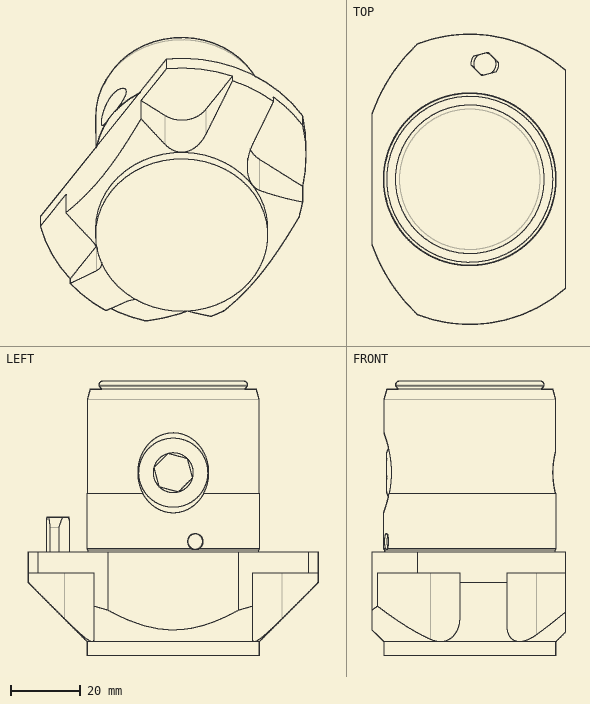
import cadquery as cq
import math

base_top = 4.0
pocket_top = 23.9
flange_top = 30.0
neck_top = 30.5
neck_chamfer_top = 31.0
ring_top = 46.85
chamfer_start = 74.1
body_top = 77.1
total_height = 79.4

base_diameter = 49.8
neck_diameter = 49.4
ring_diameter = 50.0
body_diameter = 49.7
body_top_diameter = 48.0
cap_diameter = 43.0
cap_rounding = 1.2
cap_lower_chamfer = 0.8

flange_radius = 42.0
flange_left = -28.3
flange_right = 27.7
side_arc_start_x = -15.1
side_arc_end_y = 18.9
side_arc_middle = (-22.9, 29.8)

rib_center_x = 3.95
rib_width = 13.6
rib_fillet = 8.6
left_wall_y = 22.9
right_wall_y = 18.8
pocket_reach = 50.4

screw_z = 52.9
screw_diameter = 20.0
screw_rim_x = -22.2
screw_face_x = -24.1
countersink_half_angle = 30.0
countersink_outer_x = -27.7
hex_flats = 10.0
hex_corner_radius = hex_flats / math.sqrt(3)
hex_rotation = 15.0
hex_depth = 7.55
hex_chamfer_depth = 0.5

back_hole_diameter = 12.5
back_hole_depth = 8.4

small_hole_diameter = 4.5
small_hole_z = 33.0
small_hole_angle = 195.0
small_hole_depth = 0.8

pin_center = (4.4, 33.3)
pin_top = 40.05
pin_diameter = 8.0
pin_top_diameter = 6.4
pin_taper_height = 2.9
pin_half_flats = 3.0
pin_rotation = -15.0
pin_half_angle = 60.0


def disc(diameter, bottom, top):
    return cq.Workplane("XY").workplane(offset=bottom).circle(diameter / 2).extrude(top - bottom)


def revolve_about_z(points):
    return cq.Workplane("XZ").polyline(points).close().revolve(360, (0, 0), (0, 1))


def revolve_about_screw_axis(points):
    """Turn a closed (x, radius) profile about the screw axis, which is parallel to X."""
    return (
        cq.Workplane("XZ", origin=(0, 0, screw_z))
        .polyline(points).close()
        .revolve(360, (0, 0), (1, 0))
    )


def make_flange():
    right_y = math.sqrt(flange_radius**2 - flange_right**2)
    corner_y = math.sqrt(flange_radius**2 - side_arc_start_x**2)
    middle_x, middle_y = side_arc_middle
    plate = (
        cq.Workplane("XY", origin=(0, 0, base_top))
        .moveTo(flange_right, -right_y)
        .lineTo(flange_right, right_y)
        .threePointArc((0, flange_radius), (side_arc_start_x, corner_y))
        .threePointArc((middle_x, middle_y), (flange_left, side_arc_end_y))
        .lineTo(flange_left, -side_arc_end_y)
        .threePointArc((middle_x, -middle_y), (side_arc_start_x, -corner_y))
        .threePointArc((0, -flange_radius), (flange_right, -right_y))
        .close()
        .extrude(flange_top - base_top)
    )
    base_radius = base_diameter / 2
    cone_top = base_top + flange_radius - base_radius
    envelope = revolve_about_z([
        (0, base_top),
        (base_radius, base_top),
        (flange_radius, cone_top),
        (flange_radius, flange_top),
        (0, flange_top),
    ])
    return plate.intersect(envelope)


def make_pocket(side_x, side_y, wall_y):
    """Pocket beside a rib, with a concave fillet between its wall and the rib."""
    rib_x = rib_center_x + side_x * rib_width / 2
    inset = rib_fillet * (1 - math.sqrt(0.5))
    return (
        cq.Workplane("XY")
        .moveTo(rib_x, side_y * pocket_reach)
        .lineTo(rib_x, side_y * (wall_y + rib_fillet))
        .threePointArc(
            (rib_x + side_x * inset, side_y * (wall_y + inset)),
            (rib_x + side_x * rib_fillet, side_y * wall_y),
        )
        .lineTo(side_x * pocket_reach, side_y * wall_y)
        .lineTo(side_x * pocket_reach, side_y * pocket_reach)
        .close()
        .extrude(pocket_top)
    )


def make_body():
    neck = disc(neck_diameter, flange_top, neck_top)
    ring = revolve_about_z([
        (0, neck_top),
        (neck_diameter / 2, neck_top),
        (ring_diameter / 2, neck_chamfer_top),
        (ring_diameter / 2, ring_top),
        (0, ring_top),
    ])
    barrel = revolve_about_z([
        (0, ring_top),
        (body_diameter / 2, ring_top),
        (body_diameter / 2, chamfer_start),
        (body_top_diameter / 2, body_top),
        (0, body_top),
    ])
    cap = disc(cap_diameter, body_top, total_height)
    cap = cap.faces(">Z").edges().fillet(cap_rounding)
    cap = cap.faces("<Z").edges().chamfer(cap_lower_chamfer)
    return neck.union(ring).union(barrel).union(cap)


def make_screw_recess():
    """Conical countersink around the screw, leaving the screw's raised conical face."""
    rim_radius = screw_diameter / 2
    flare = (screw_rim_x - countersink_outer_x) * math.tan(math.radians(countersink_half_angle))
    return revolve_about_screw_axis([
        (screw_face_x, 0),
        (screw_face_x, hex_corner_radius),
        (screw_rim_x, rim_radius),
        (countersink_outer_x, rim_radius + flare),
        (countersink_outer_x, 0),
    ])


def make_hex_socket():
    socket = (
        cq.Workplane("YZ")
        .polygon(6, 2 * hex_corner_radius)
        .extrude(hex_depth)
        .rotate((0, 0, 0), (1, 0, 0), hex_rotation)
        .translate((screw_face_x, 0, screw_z))
    )
    lead_in = revolve_about_screw_axis([
        (screw_face_x, 0),
        (screw_face_x, hex_corner_radius),
        (screw_face_x + hex_chamfer_depth, hex_flats / 2),
        (screw_face_x + hex_chamfer_depth, 0),
    ])
    return socket.union(lead_in)


def make_back_hole():
    return (
        cq.Workplane("YZ", origin=(body_diameter / 2 - back_hole_depth, 0, screw_z))
        .circle(back_hole_diameter / 2)
        .extrude(2 * back_hole_depth)
    )


def make_small_hole():
    return (
        cq.Workplane("YZ", origin=(ring_diameter / 2 - small_hole_depth, 0, small_hole_z))
        .circle(small_hole_diameter / 2)
        .extrude(2 * small_hole_depth)
        .rotate((0, 0, 0), (0, 0, 1), small_hole_angle)
    )


def make_pin():
    radius = pin_diameter / 2
    top_radius = pin_top_diameter / 2
    pin = revolve_about_z([
        (0, flange_top),
        (radius, flange_top),
        (radius, pin_top - pin_taper_height),
        (top_radius, pin_top),
        (0, pin_top),
    ])
    long_half = pin_half_flats / math.cos(math.radians(pin_half_angle))
    short_half = pin_half_flats / math.sin(math.radians(pin_half_angle))
    diamond = (
        cq.Workplane("XY", origin=(0, 0, flange_top))
        .polyline([(long_half, 0), (0, short_half), (-long_half, 0), (0, -short_half)])
        .close()
        .extrude(pin_top - flange_top)
    )
    pin = pin.intersect(diamond).rotate((0, 0, 0), (0, 0, 1), pin_rotation)
    return pin.translate((pin_center[0], pin_center[1], 0))


flange = make_flange()
for side_x, wall_y in ((-1, left_wall_y), (1, right_wall_y)):
    for side_y in (-1, 1):
        flange = flange.cut(make_pocket(side_x, side_y, wall_y))

result = disc(base_diameter, 0, base_top).union(flange).union(make_body())
for cutter in (make_screw_recess(), make_hex_socket(), make_back_hole(), make_small_hole()):
    result = result.cut(cutter)
result = result.union(make_pin())